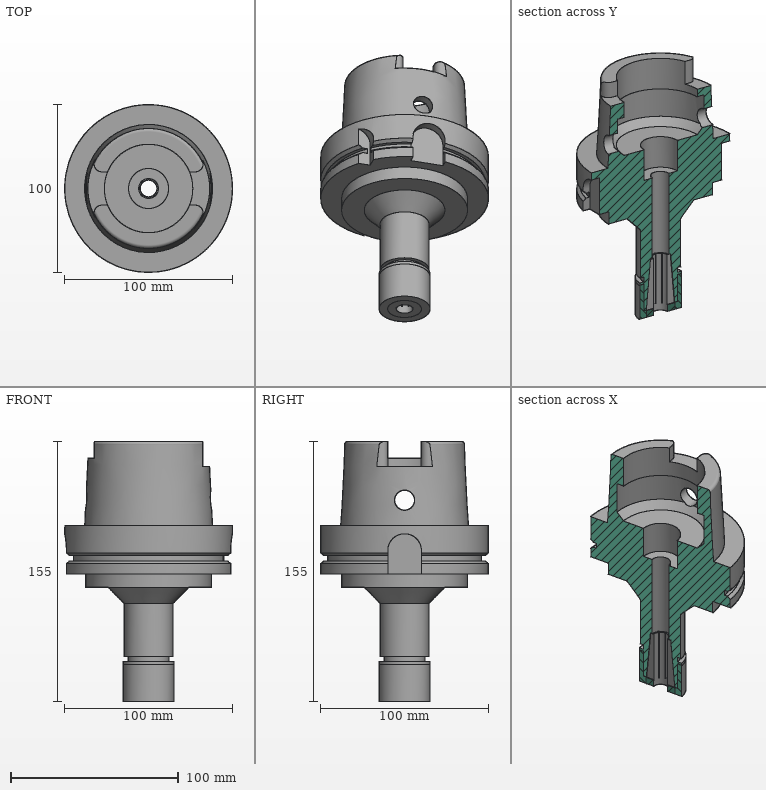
import cadquery as cq
import math

total_length = 155.0

flange_radius = 49.99
flange_top_z = 105.0
flange_bottom_z = 76.0
groove_radius = 45.9
groove_lip_radius = 48.0
groove_top_z = 87.0
groove_bottom_z = 83.9
groove_chamfer_height = 1.7

taper_base_radius = 38.1
taper_top_radius = 35.6
taper_top_fillet = 2.0

collar_radius = 37.5
collar_bottom_z = 68.0
cone_top_radius = 24.0
neck_radius = 14.5
cone_bottom_z = 58.5
neck_bottom_z = 26.8
stop_ring_radius = 15.2
stop_ring_top_z = 24.0
stop_ring_bottom_z = 22.2
nose_radius = 12.2
nose_bottom_z = 4.6

mouth_radius = 26.4
mouth_depth = 20.0
chamber_radius = 31.0
chamber_end_depth = 40.0
chamber_cone_height = chamber_radius - mouth_radius
floor_z = total_length - chamber_end_depth - chamber_cone_height
thread_bore_radius = 12.0
thread_bore_depth = 20.0
coolant_bore_radius = 5.9

rim_slot_width = 19.8
rim_slot_left_depth = 9.9
rim_slot_right_depth = 14.9
rim_flat_distance = 32.4
rim_corner_radius = 4.5

cross_hole_radius = 5.9
cross_hole_z = 120.0

flange_slot_width = 20.0
flange_slot_top_z = 100.0
flange_slot_floor = 44.2
notch_floor = 31.8
notch_wall_y = 31.5

nut_radius = stop_ring_radius
nut_top_z = stop_ring_bottom_z
collet_nose_radius = 10.0
collet_back_radius = 7.1
collet_top_z = 37.2
collet_bore_radius = 5.0
slit_count = 8
slit_width = 0.5


def revolve(points):
    """Solid of revolution about Z from (radius, z) points."""
    return cq.Workplane("XZ").polyline(points).close().revolve(360, (0, 0), (0, 1))


def cylinder(radius, bottom_z, top_z):
    return cq.Workplane("XY").workplane(offset=bottom_z).circle(radius).extrude(top_z - bottom_z)


def holder_outside():
    flange_and_shank = revolve([
        (0, flange_top_z),
        (flange_radius, flange_top_z),
        (flange_radius, groove_top_z + groove_chamfer_height),
        (groove_lip_radius, groove_top_z),
        (groove_radius, groove_top_z),
        (groove_radius, groove_bottom_z),
        (groove_lip_radius, groove_bottom_z),
        (flange_radius, groove_bottom_z - groove_chamfer_height),
        (flange_radius, flange_bottom_z),
        (collar_radius, flange_bottom_z),
        (collar_radius, collar_bottom_z),
        (cone_top_radius, collar_bottom_z),
        (neck_radius, cone_bottom_z),
        (neck_radius, neck_bottom_z),
        (nose_radius, neck_bottom_z),
        (nose_radius, stop_ring_top_z),
        (stop_ring_radius, stop_ring_top_z),
        (stop_ring_radius, stop_ring_bottom_z),
        (nose_radius, stop_ring_bottom_z),
        (nose_radius, nose_bottom_z),
        (0, nose_bottom_z),
    ])
    taper = revolve([
        (0, flange_bottom_z),
        (taper_base_radius, flange_bottom_z),
        (taper_base_radius, flange_top_z),
        (taper_top_radius, total_length),
        (0, total_length),
    ])
    taper = taper.faces(">Z").edges().fillet(taper_top_fillet)
    return flange_and_shank.union(taper)


def holder_bore():
    """Mouth, wider chamber with a conical end, thread bore and coolant bore."""
    chamber_top_z = total_length - mouth_depth
    chamber_end_z = total_length - chamber_end_depth
    thread_end_z = floor_z - thread_bore_depth
    return revolve([
        (0, total_length),
        (mouth_radius, total_length),
        (mouth_radius, chamber_top_z),
        (chamber_radius, chamber_top_z),
        (chamber_radius, chamber_end_z),
        (mouth_radius, floor_z),
        (thread_bore_radius, floor_z),
        (thread_bore_radius, thread_end_z),
        (coolant_bore_radius, thread_end_z),
        (coolant_bore_radius, nose_bottom_z),
        (0, nose_bottom_z),
    ])


def rim_slot(side, depth):
    """Slot from the axis out through the rim on the side +1 or -1 of X, with rounded outer corners."""
    half_width = rim_slot_width / 2
    arc_start_x = rim_flat_distance - rim_corner_radius
    arc_end_y = half_width + rim_corner_radius
    arc_mid_x = arc_start_x + rim_corner_radius * math.sin(math.pi / 4)
    arc_mid_y = arc_end_y - rim_corner_radius * math.cos(math.pi / 4)
    outline = (
        cq.Workplane("XY")
        .workplane(offset=total_length - depth)
        .moveTo(0, -half_width)
        .lineTo(side * arc_start_x, -half_width)
        .threePointArc((side * arc_mid_x, -arc_mid_y), (side * rim_flat_distance, -arc_end_y))
        .lineTo(side * rim_flat_distance, -taper_base_radius)
        .lineTo(side * flange_radius, -taper_base_radius)
        .lineTo(side * flange_radius, taper_base_radius)
        .lineTo(side * rim_flat_distance, taper_base_radius)
        .lineTo(side * rim_flat_distance, arc_end_y)
        .threePointArc((side * arc_mid_x, arc_mid_y), (side * arc_start_x, half_width))
        .lineTo(0, half_width)
        .close()
    )
    return outline.extrude(depth)


def flange_slot(side, floor_distance, center_y):
    """Round-topped slot, open below, cut inward along X down to a flat floor."""
    half_width = flange_slot_width / 2
    arc_center_z = flange_slot_top_z - half_width
    outline = (
        cq.Workplane("YZ")
        .workplane(offset=side * floor_distance)
        .moveTo(center_y - half_width, flange_bottom_z)
        .lineTo(center_y - half_width, arc_center_z)
        .threePointArc((center_y, flange_slot_top_z), (center_y + half_width, arc_center_z))
        .lineTo(center_y + half_width, flange_bottom_z)
        .close()
    )
    return outline.extrude(side * flange_radius)


def cross_hole():
    hole = cq.Workplane("YZ").center(0, cross_hole_z).circle(cross_hole_radius)
    return hole.extrude(flange_radius, both=True)


def collet_envelope():
    """Outer shape of the collet: cylindrical nose in the nut and long cone in the holder."""
    return revolve([
        (0, 0),
        (collet_nose_radius, 0),
        (collet_nose_radius, nose_bottom_z),
        (collet_back_radius, collet_top_z),
        (0, collet_top_z),
    ])


def make_holder():
    body = holder_outside().cut(holder_bore())
    body = body.cut(rim_slot(-1, rim_slot_left_depth))
    body = body.cut(rim_slot(1, rim_slot_right_depth))
    body = body.cut(cross_hole())
    for side in (-1, 1):
        body = body.cut(flange_slot(side, flange_slot_floor, 0))
    notch_center_y = notch_wall_y + flange_slot_width / 2
    body = body.cut(flange_slot(-1, notch_floor, notch_center_y))
    return body.cut(collet_envelope())


def make_nut():
    """Cap over the holder nose, up against the stop ring, with a hole for the collet nose."""
    body = cylinder(nut_radius, 0, nut_top_z)
    body = body.cut(cylinder(nose_radius, nose_bottom_z, nut_top_z))
    return body.cut(cylinder(collet_nose_radius, 0, nose_bottom_z))


def make_collet():
    """Cone with a bore, slit from its back end down to the nose."""
    body = collet_envelope().cut(cylinder(collet_bore_radius, 0, collet_top_z))
    slit_height = collet_top_z - nose_bottom_z
    for index in range(slit_count):
        slit = (
            cq.Workplane("XY")
            .workplane(offset=nose_bottom_z)
            .center(collet_nose_radius / 2, 0)
            .rect(collet_nose_radius, slit_width)
            .extrude(slit_height)
            .rotate((0, 0, 0), (0, 0, 1), index * 360 / slit_count)
        )
        body = body.cut(slit)
    return body


holder = make_holder()
nut = make_nut()
collet = make_collet()

result = cq.Compound.makeCompound([holder.val(), nut.val(), collet.val()])